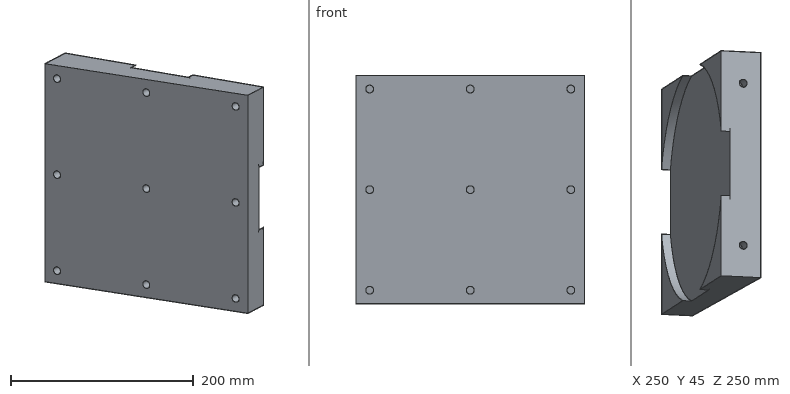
import cadquery as cq

side = 250.0
left_thickness = 45.0
right_thickness = 35.0
half_side = side / 2
back_y = left_thickness / 2
left_front_y = back_y - left_thickness
right_front_y = back_y - right_thickness

recess_radius = 130.0
recess_depth = 10.0

hole_diameter = 8.5
hole_radius = hole_diameter / 2
hole_depth = 20.0
front_hole_pitch = 110.0
side_hole_spacing = 180.0
side_hole_from_back = 25.0


def tapered_plate():
    outline = [
        (-half_side, back_y),
        (half_side, back_y),
        (half_side, right_front_y),
        (-half_side, left_front_y),
    ]
    return cq.Workplane("XY").polyline(outline).close().extrude(half_side, both=True)


def back_recess():
    """Round recess that leaves a raised pad at each corner of the back face."""
    floor = cq.Workplane("XZ", origin=(0, back_y - recess_depth, 0))
    return floor.circle(recess_radius).extrude(-recess_depth)


def front_hole(x, z):
    """Circle lying on the tapered face, swept along Y so its bottom is parallel to that face."""
    taper = right_front_y - left_front_y
    middle_front_y = (left_front_y + right_front_y) / 2
    center = cq.Vector(x, middle_front_y + x * taper / side, z)
    inward = cq.Vector(-taper, side, 0)
    rim = cq.Wire.makeCircle(hole_radius, center, inward)
    return cq.Solid.extrudeLinear(rim, [], cq.Vector(0, hole_depth, 0))


def side_holes():
    """Pair of holes drilled into the left face along X."""
    return (
        cq.Workplane("YZ", origin=(-half_side, back_y - side_hole_from_back, 0))
        .rarray(side_hole_spacing, side_hole_spacing, 1, 2)
        .circle(hole_radius)
        .extrude(hole_depth)
    )


result = tapered_plate().cut(back_recess()).cut(side_holes())

grid_positions = (-front_hole_pitch, 0, front_hole_pitch)
for hole_x in grid_positions:
    for hole_z in grid_positions:
        result = result.cut(cq.Workplane(obj=front_hole(hole_x, hole_z)))